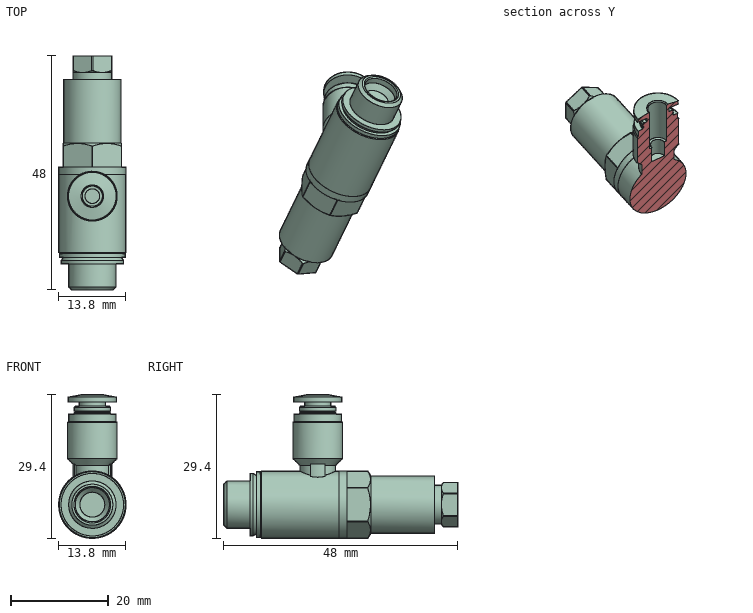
import cadquery as cq
import math

TIP_Y = -19.25

TIP_CHAMFER = 0.65
SEAT_FRONT = 5.4
SEAT_BACK = 6.05
RING_FRONT = 6.7
RING_BACK = 7.5
BODY_FRONT = 7.7
COLLAR_FRONT = 23.65
HEX_FRONT = 25.2
HEX_BACK = 30.1
SLEEVE_BACK = 43.15
NECK_BACK = 44.55
OVERALL_LENGTH = 47.95

THREAD_DIA = 9.7
SEAT_DIA = 12.8
GROOVE_DIA = 12.4
SEAT_TAPER_DIA = 12.0
RING_DIA = 13.5
BODY_DIA = 13.78
COLLAR_DIA = 13.8
SLEEVE_DIA = 11.8
NECK_DIA = 8.0

BODY_HEX_FLATS = 12.0
BODY_HEX_CHAMFER = 0.6
REAR_HEX_FLATS = 8.0
REAR_HEX_CORNER_DIA = 9.1
REAR_HEX_CHAMFER = 0.4

TIP_MOUTH_DIA = 7.5
TIP_BORE_DIA = 7.0
TIP_FLOOR_DIA = 5.1
TIP_MOUTH_DEPTH = 0.25
TIP_BORE_DEPTH = 1.5
TIP_FLOOR_DEPTH = 2.75

BRANCH_TOP = 22.5
BUTTON_EDGE = 22.0
BUTTON_BOTTOM = 21.0
STEM_BOTTOM = 20.15
CUFF_CHAMFER = 0.25
CUFF_BOTTOM = 19.2
CUFF_GROOVE = 19.0
CUFF_FOOT = 18.8
CAP_TOP = 18.55
CAP_BOTTOM = 17.05
BARREL_TOP = 16.8
BARREL_BOTTOM = 9.45
BRANCH_NECK_TOP = 8.0

BUTTON_DIA = 9.9
STEM_DIA = 5.4
CUFF_DIA = 7.5
CUFF_GROOVE_DIA = 7.0
CAP_DIA = 9.73
BARREL_DIA = 10.2
BRANCH_NECK_DIA = 7.3

RIB_DIA = 8.0
RIB_WIDTH = 3.05

HOSE_MOUTH_DIA = 4.6
HOSE_BORE_DIA = 4.13
HOSE_BORE_FLOOR = 12.0
HOSE_PASSAGE_DIA = 3.0
HOSE_PASSAGE_FLOOR = 8.0


def turned_along_y(stations):
    """Solid of revolution about Y from (distance from the tip, diameter) pairs."""
    rim = [(dia / 2, TIP_Y + station) for station, dia in stations]
    outline = [(0, rim[0][1])] + rim + [(0, rim[-1][1])]
    return cq.Workplane("XY").polyline(outline).close().revolve(360, (0, 0), (0, 1))


def turned_along_z(levels):
    """Solid of revolution about Z from (height, diameter) pairs."""
    rim = [(dia / 2, height) for height, dia in levels]
    outline = [(0, rim[0][1])] + rim + [(0, rim[-1][1])]
    return cq.Workplane("XZ").polyline(outline).close().revolve(360, (0, 0), (0, 1))


def hex_prism(flats, front, back):
    """Hexagonal prism along Y with its flats facing +X and -X and corners on Z."""
    corner_dia = flats / math.cos(math.pi / 6)
    return (
        cq.Workplane("XZ", origin=(0, TIP_Y + front, 0))
        .transformed(rotate=(0, 0, 90))
        .polygon(6, corner_dia)
        .extrude(front - back)
    )


def make_main_body():
    return turned_along_y([
        (0, THREAD_DIA - 2 * TIP_CHAMFER),
        (TIP_CHAMFER, THREAD_DIA),
        (SEAT_FRONT, THREAD_DIA),
        (SEAT_FRONT, SEAT_DIA),
        (SEAT_BACK, SEAT_DIA),
        (RING_FRONT, SEAT_TAPER_DIA),
        (RING_FRONT, RING_DIA),
        (RING_BACK, RING_DIA),
        (RING_BACK, GROOVE_DIA),
        (BODY_FRONT, GROOVE_DIA),
        (BODY_FRONT, BODY_DIA),
        (COLLAR_FRONT, BODY_DIA),
        (COLLAR_FRONT, COLLAR_DIA),
        (HEX_FRONT, COLLAR_DIA),
        (HEX_FRONT, SLEEVE_DIA),
        (SLEEVE_BACK, SLEEVE_DIA),
        (SLEEVE_BACK, NECK_DIA),
        (OVERALL_LENGTH, NECK_DIA),
    ])


def make_body_hex():
    """Wrench hexagon whose rear corners are chamfered."""
    envelope = turned_along_y([
        (HEX_FRONT, BODY_DIA),
        (HEX_BACK - BODY_HEX_CHAMFER, BODY_DIA),
        (HEX_BACK, SLEEVE_DIA),
    ])
    return hex_prism(BODY_HEX_FLATS, HEX_FRONT, HEX_BACK).intersect(envelope)


def make_rear_hex():
    """Adjusting hexagon whose front corners are chamfered."""
    envelope = turned_along_y([
        (NECK_BACK, NECK_DIA),
        (NECK_BACK + REAR_HEX_CHAMFER, REAR_HEX_CORNER_DIA),
        (OVERALL_LENGTH, REAR_HEX_CORNER_DIA),
    ])
    return hex_prism(REAR_HEX_FLATS, NECK_BACK, OVERALL_LENGTH).intersect(envelope)


def make_branch():
    return turned_along_z([
        (0, BRANCH_NECK_DIA),
        (BRANCH_NECK_TOP, BRANCH_NECK_DIA),
        (BARREL_BOTTOM, BARREL_DIA),
        (BARREL_TOP, BARREL_DIA),
        (CAP_BOTTOM, CAP_DIA),
        (CAP_TOP, CAP_DIA),
        (CAP_TOP, CUFF_DIA),
        (CUFF_FOOT, CUFF_DIA),
        (CUFF_GROOVE, CUFF_GROOVE_DIA),
        (CUFF_BOTTOM, CUFF_DIA),
        (STEM_BOTTOM - CUFF_CHAMFER, CUFF_DIA),
        (STEM_BOTTOM, CUFF_DIA - 2 * CUFF_CHAMFER),
        (STEM_BOTTOM, STEM_DIA),
        (BUTTON_BOTTOM, STEM_DIA),
        (BUTTON_BOTTOM, BUTTON_DIA),
        (BUTTON_EDGE, BUTTON_DIA),
        (BRANCH_TOP, HOSE_MOUTH_DIA),
    ])


def make_neck_ribs():
    """Round-faced ribs on the +X and -X sides of the branch neck."""
    post = cq.Workplane("XY").circle(RIB_DIA / 2).extrude(BARREL_BOTTOM)
    slab = cq.Workplane("XY").rect(RIB_DIA, RIB_WIDTH).extrude(BARREL_BOTTOM)
    return post.intersect(slab)


def make_tip_bore():
    return turned_along_y([
        (0, TIP_MOUTH_DIA),
        (TIP_MOUTH_DEPTH, TIP_BORE_DIA),
        (TIP_BORE_DEPTH, TIP_BORE_DIA),
        (TIP_FLOOR_DEPTH, TIP_FLOOR_DIA),
    ])


def make_hose_hole():
    mouth_depth = (HOSE_MOUTH_DIA - HOSE_BORE_DIA) / 2
    return turned_along_z([
        (HOSE_PASSAGE_FLOOR, HOSE_PASSAGE_DIA),
        (HOSE_BORE_FLOOR, HOSE_PASSAGE_DIA),
        (HOSE_BORE_FLOOR, HOSE_BORE_DIA),
        (BRANCH_TOP - mouth_depth, HOSE_BORE_DIA),
        (BRANCH_TOP, HOSE_MOUTH_DIA),
    ])


result = (
    make_main_body()
    .union(make_body_hex())
    .union(make_rear_hex())
    .union(make_branch())
    .union(make_neck_ribs())
    .cut(make_tip_bore())
    .cut(make_hose_hole())
)